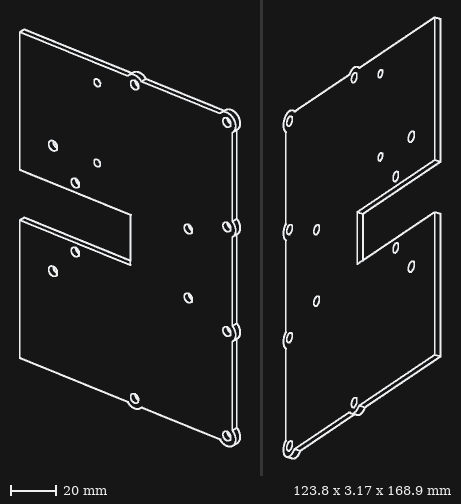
import cadquery as cq

thickness = 3.175
right_lobe_count = 4
lobe_pitch = 52.9167
lobe_radius = 5.08
lobe_inset = 3.175
total_width = 123.83

lobe_x = total_width - lobe_radius
lobe_z = (right_lobe_count - 1) * lobe_pitch / 2
plate_width = lobe_x + lobe_inset
plate_height = 2 * (lobe_z + lobe_inset)

slot_length = 63.5
slot_height = 25.4

screw_diameter = 4.5
large_diameter = 4.92
small_diameter = 3.6

bracket_left_x = 31.8
bracket_right_x = 96.6
bracket_z = 17.46
large_x = 19.05
large_z = 31.75
small_x = 44.4
small_lower_z = 32.1
small_pitch = 40.64

lobe_points = [(lobe_x, i * lobe_pitch - lobe_z) for i in range(right_lobe_count)]
lobe_points += [(lobe_x - lobe_pitch, z) for z in (-lobe_z, lobe_z)]
bracket_points = [(x, z) for x in (bracket_left_x, bracket_right_x) for z in (-bracket_z, bracket_z)]
large_points = [(large_x, z) for z in (-large_z, large_z)]
small_points = [(small_x, small_lower_z + i * small_pitch) for i in range(2)]


def sketch_plane():
    """XZ plane on the back face, so that extrusions run toward -Y to Y = 0."""
    return cq.Workplane("XZ", origin=(0, thickness, 0))


def box_from_left_edge(width, height):
    """Block of plate thickness starting at X = 0 and centred on Z = 0."""
    return sketch_plane().center(width / 2, 0).rect(width, height).extrude(thickness)


def discs(points, diameter):
    """Discs of plate thickness centred on the given (X, Z) points."""
    return sketch_plane().pushPoints(points).circle(diameter / 2).extrude(thickness)


result = box_from_left_edge(plate_width, plate_height).union(discs(lobe_points, 2 * lobe_radius))

result = result.cut(box_from_left_edge(slot_length, slot_height))

for points, diameter in (
    (lobe_points, screw_diameter),
    (bracket_points, screw_diameter),
    (large_points, large_diameter),
    (small_points, small_diameter),
):
    result = result.cut(discs(points, diameter))